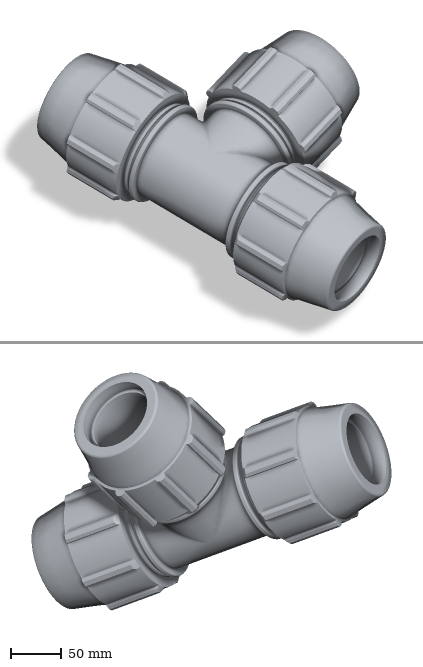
import cadquery as cq
import math

END_REACH = 182.0

PIPE_RADIUS = 94.05 / 2
BORE_RADIUS = 67.5 / 2
NECK_RADIUS = 99.0 / 2
THREAD_RADIUS = 103.95 / 2
FLANGE_RADIUS = 108.9 / 2
FLANGE_INNER = 57.9
FLANGE_OUTER = 63.0
THREAD_INNER = 66.8
THREAD_OUTER = 69.6
FLANGE_ROUND = 1.2
CROTCH_FILLET = 4.0

NUT_INNER = 73.0
NUT_SHOULDER = 136.2
GRIP_RADIUS = 61.2
NOSE_BASE_RADIUS = 58.5
NOSE_TIP_RADIUS = 49.5
NOSE_ROUND = 2.8
SOCKET_RADIUS = 75.0 / 2
SOCKET_DEPTH = 14.0

RIB_COUNT = 8
RIB_TOP_RADIUS = 66.1
RIB_TOP_HALF_WIDTH = 2.7
RIB_SIDE_RADIUS = 63.5
RIB_BASE_HALF_WIDTH = 5.4
RIB_ROOT_RADIUS = 59.0
RIB_CORNER_RADIUS = math.hypot(RIB_TOP_RADIUS, RIB_TOP_HALF_WIDTH)
INNER_BEVEL_LENGTH = 4.5
OUTER_BEVEL_LENGTH = 2.0


def disc(radius, start, end):
    """Cylinder on the Z axis between two heights."""
    return cq.Workplane("XY").workplane(offset=start).circle(radius).extrude(end - start)


def collar():
    """Rounded flange, neck and thread ring of one end along +Z."""
    flange = disc(FLANGE_RADIUS, FLANGE_INNER, FLANGE_OUTER).edges().fillet(FLANGE_ROUND)
    neck = disc(NECK_RADIUS, FLANGE_OUTER, NUT_INNER)
    thread = disc(THREAD_RADIUS, THREAD_INNER, THREAD_OUTER)
    return flange.union(neck).union(thread)


def nut_body():
    """Grip cylinder and tapered nose with a rounded rim."""
    rim_start = END_REACH - NOSE_ROUND
    rim_setback = NOSE_ROUND * (1 - math.sqrt(0.5))
    profile = (
        cq.Workplane("XZ")
        .moveTo(0, NUT_INNER)
        .lineTo(GRIP_RADIUS, NUT_INNER)
        .lineTo(GRIP_RADIUS, NUT_SHOULDER)
        .lineTo(NOSE_BASE_RADIUS, NUT_SHOULDER)
        .lineTo(NOSE_TIP_RADIUS, rim_start)
        .threePointArc(
            (NOSE_TIP_RADIUS - rim_setback, END_REACH - rim_setback),
            (NOSE_TIP_RADIUS - NOSE_ROUND, END_REACH),
        )
        .lineTo(0, END_REACH)
        .close()
    )
    return profile.revolve(360, (0, 0, 0), (0, 1, 0))


def bevel_ring(face_height, face_radius, bevel_length):
    """Ring that bevels the rib ends, from face_radius at a face up to the rib tops."""
    return (
        cq.Workplane("XZ")
        .polyline([
            (face_radius, face_height),
            (RIB_CORNER_RADIUS, face_height + bevel_length),
            (RIB_CORNER_RADIUS, face_height),
        ])
        .close()
        .revolve(360, (0, 0, 0), (0, 1, 0))
    )


def rib():
    """One flat-topped grip rib with sloped top corners, pointing along +X."""
    return (
        cq.Workplane("XY")
        .workplane(offset=NUT_INNER)
        .polyline([
            (RIB_ROOT_RADIUS, -RIB_BASE_HALF_WIDTH),
            (RIB_SIDE_RADIUS, -RIB_BASE_HALF_WIDTH),
            (RIB_TOP_RADIUS, -RIB_TOP_HALF_WIDTH),
            (RIB_TOP_RADIUS, RIB_TOP_HALF_WIDTH),
            (RIB_SIDE_RADIUS, RIB_BASE_HALF_WIDTH),
            (RIB_ROOT_RADIUS, RIB_BASE_HALF_WIDTH),
        ])
        .close()
        .extrude(NUT_SHOULDER - NUT_INNER)
    )


def grip_ribs(bevel_inner_ends):
    """Ring of ribs with bevelled ends."""
    pitch = 360 / RIB_COUNT
    ribs = cq.Workplane("XY")
    for index in range(RIB_COUNT):
        ribs = ribs.add(rib().rotate((0, 0, 0), (0, 0, 1), (index + 0.5) * pitch))
    ribs = ribs.combine()
    if bevel_inner_ends:
        ribs = ribs.cut(bevel_ring(NUT_INNER, GRIP_RADIUS, INNER_BEVEL_LENGTH))
    return ribs


def compression_end(bevel_inner_ends):
    """Collar and nut of one end along +Z, before boring."""
    nut = nut_body().union(grip_ribs(bevel_inner_ends))
    nut = nut.cut(bevel_ring(NUT_SHOULDER, NOSE_BASE_RADIUS, -OUTER_BEVEL_LENGTH))
    return collar().union(nut)


def bore():
    """Through bore and wider pipe socket of one end along +Z."""
    return disc(BORE_RADIUS, 0, END_REACH).union(disc(SOCKET_RADIUS, END_REACH - SOCKET_DEPTH, END_REACH))


def assemble(run_shape, branch_shape):
    """Turn +Z shapes onto +X, -X and +Y and join them."""
    right = run_shape.rotate((0, 0, 0), (0, 1, 0), 90)
    left = run_shape.rotate((0, 0, 0), (0, 1, 0), -90)
    branch = branch_shape.rotate((0, 0, 0), (1, 0, 0), -90)
    return right.union(left).union(branch)


def tee_pipes():
    """Run and branch pipes with a fillet along the curves where they cross."""
    run = cq.Workplane("YZ").circle(PIPE_RADIUS).extrude(FLANGE_OUTER, both=True)
    branch = cq.Workplane("XZ").circle(PIPE_RADIUS).extrude(-FLANGE_OUTER)
    crossing_curves = run.union(branch).edges("%ELLIPSE")
    return crossing_curves.fillet(CROTCH_FILLET)


solid_tee = tee_pipes().union(assemble(compression_end(True), compression_end(False)))
result = solid_tee.cut(assemble(bore(), bore()))